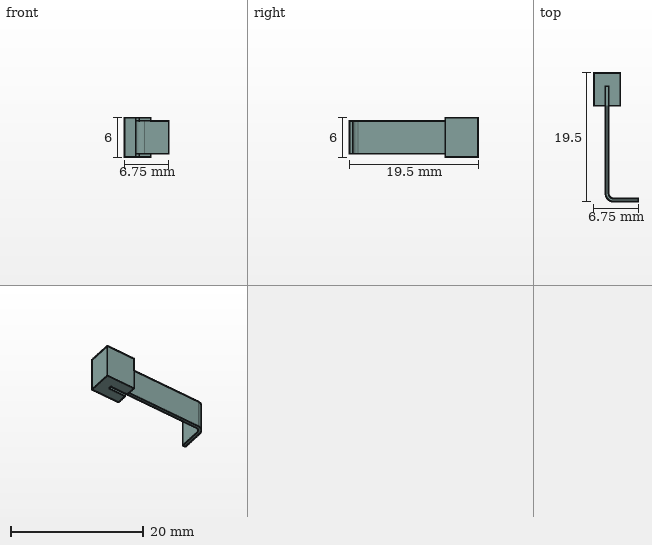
import cadquery as cq

overall_width = 6.75
overall_length = 19.5

block_width = 4.0
block_depth = 5.0
block_height = 6.0
slot_depth = 3.0

strip_thickness = 0.5
strip_height = 5.0
bend_outer_radius = 1.25
bend_inner_radius = bend_outer_radius - strip_thickness

block_front = overall_length - block_depth
slot_end = block_front + slot_depth
strip_left = -strip_thickness / 2
strip_right = strip_thickness / 2
foot_tip = overall_width - block_width / 2
bend_center_x = strip_left + bend_outer_radius


def make_block():
    """Rectangular block with a full-height slot open at its front face."""
    body = cq.Workplane("XY").box(
        block_width, block_depth, block_height, centered=(True, False, True)
    )
    slot = cq.Workplane("XY").box(
        strip_thickness, slot_depth, block_height, centered=(True, False, True)
    )
    return body.cut(slot).translate((0, block_front, 0))


def make_strip():
    """L-shaped strip: a long leg seated in the slot, a rounded bend and a foot."""
    outline = (
        cq.Workplane("XY")
        .moveTo(strip_left, slot_end)
        .lineTo(strip_left, bend_outer_radius)
        .radiusArc((bend_center_x, 0), -bend_outer_radius)
        .lineTo(foot_tip, 0)
        .lineTo(foot_tip, strip_thickness)
        .lineTo(bend_center_x, strip_thickness)
        .radiusArc((strip_right, bend_outer_radius), bend_inner_radius)
        .lineTo(strip_right, slot_end)
        .close()
    )
    return outline.extrude(strip_height / 2, both=True)


block = make_block()
strip = make_strip()

result = cq.Compound.makeCompound([block.val(), strip.val()])